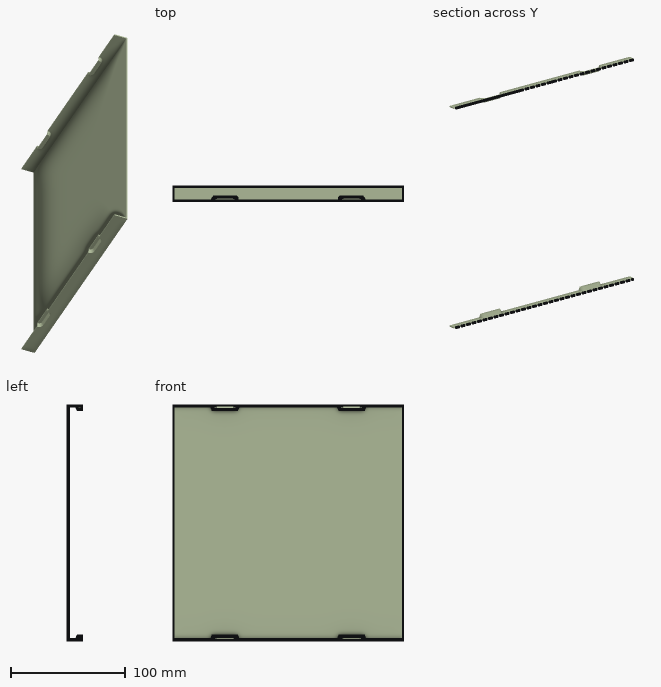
import cadquery as cq
import math

width = 200.0
depth = 12.5
height = 204.5
sheet = 1.0

dimple_spacing = 110.2
mouth_width = 22.3
mouth_reach = 4.0
mouth_corner = 3.9
recess_depth = 3.0
wall_slope = 22.0

free_edge = -depth / 2
outer_face = height / 2
wall_offset = sheet / math.cos(math.radians(wall_slope))


def tapered_block(x_center, offset, drop):
    """Round-cornered block narrowing downward from the outer flange face, grown by offset."""
    return (
        cq.Workplane("XY", origin=(x_center, free_edge, outer_face))
        .sketch()
        .rect(mouth_width + 2 * offset, 2 * (mouth_reach + offset))
        .vertices()
        .fillet(mouth_corner + offset)
        .finalize()
        .extrude(-drop, taper=wall_slope)
    )


def channel():
    """Flat rear panel with a flange running forward at the top and bottom."""
    outer = cq.Workplane("XY").box(width, depth, height)
    inner = cq.Workplane("XY").box(width, depth, height - 2 * sheet).translate((0, -sheet, 0))
    return outer.cut(inner)


def add_top_dimple(body, x_center):
    """Press one dimple into the top flange."""
    envelope = cq.Workplane("XY").box(width, depth, height)
    shell = tapered_block(x_center, wall_offset, recess_depth + sheet).intersect(envelope)
    recess = tapered_block(x_center, 0, recess_depth)
    return body.union(shell).cut(recess)


body = channel()
for x_center in (-dimple_spacing / 2, dimple_spacing / 2):
    body = add_top_dimple(body, x_center)

top_half = body.intersect(cq.Workplane("XY").box(width, depth, height).translate((0, 0, height / 2)))
result = top_half.union(top_half.mirror("XY")).clean()